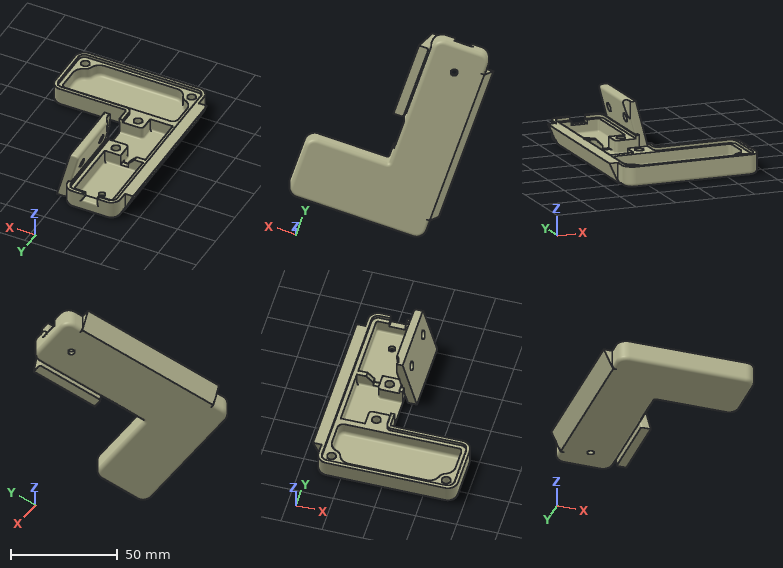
import cadquery as cq
import math

bar_length = 68.0
bar_width = 30.4
stem_width = 27.9
stem_length = 96.3
tray_height = 10.0
outer_radius = 5.0
inside_corner_radius = 0.8
bottom_fillet = 1.9

lip_width = 1.7
lip_height = 1.5
ledge_z = tray_height - lip_height
floor_z = 2.0
wall = 3.95

stem_pocket_fillet = 1.0
stem_corner_radius = 1.1
upper_pocket_right = 24.1
upper_pocket_front = 60.5
lower_pocket_back = 58.1
lower_pocket_front = 29.7
boss_left = 15.8
boss_corner_radius = 1.5
opening_front = 37.75
opening_back = 52.0

ramp_top_x = 8.5
ramp_bottom_x = 11.8
web_low_z = floor_z + stem_pocket_fillet

bar_pocket_front = 3.7
bar_pocket_back = 26.7
bar_pocket_fillet = 1.7
bar_back_left_radius = 3.0
bar_back_right_radius = 1.8
corner_boss_radius = 4.0
corner_blend_radius = 5.4

screw_diameter = 4.2
corner_screw_inset = 6.1
stem_screw_x = 20.3
stem_screw_ys = (33.4, 56.3)
drain_diameter = 3.2
drain_x = 14.1
drain_y = 83.1

notch_left = 10.1
notch_right = 17.9
notch_depth = 1.9
notch_round = 1.0

rail_overhang = 4.2
rail_bottom_x = 0.4
rail_front = 10.4
rail_back = 86.9

tab_angle = math.radians(15)
tab_foot_x = 34.2
tab_thickness = 4.7
tab_height = 26.0
tab_front = 54.5
tab_back = 90.2
tab_top_radius = 1.5
tab_end_radius = 1.0
tab_hole_spacing = 20.0
tab_hole_x = 29.5
driver_radius = 4.3


def box(x0, x1, y0, y1, z0, z1):
    """Box between two opposite corners."""
    return cq.Workplane("XY").box(x1 - x0, y1 - y0, z1 - z0, centered=False).translate((x0, y0, z0))


def fillet_upright(solid, corners, radius, z):
    """Round the upright edges at the given XY corners; z is a height near their middle."""
    for x, y in corners:
        solid = solid.edges(cq.selectors.NearestToPointSelector((x, y, z))).fillet(radius)
    return solid


def l_prism(inset, z0, z1):
    """L-shaped prism with rounded corners, inset from the tray outline."""
    low = inset
    right = bar_length - inset
    shoulder = bar_width - inset
    stem_right = stem_width - inset
    back = stem_length - inset
    inside_corner = (stem_right, shoulder)
    points = [(low, low), (right, low), (right, shoulder), inside_corner, (stem_right, back), (low, back)]
    outer_corners = [point for point in points if point != inside_corner]
    middle = (z0 + z1) / 2
    prism = cq.Workplane("XY").workplane(offset=z0).polyline(points).close().extrude(z1 - z0)
    prism = fillet_upright(prism, [inside_corner], inside_corner_radius + inset, middle)
    return fillet_upright(prism, outer_corners, outer_radius - inset, middle)


def make_rail():
    """Wedge rail along the left side, flush with the tray top and bottom."""
    section = [
        (-rail_overhang, tray_height),
        (lip_width / 2, tray_height),
        (wall / 2, 0),
        (rail_bottom_x, 0),
    ]
    rail = cq.Workplane("XZ").polyline(section).close().extrude(rail_front - rail_back)
    return rail.translate((0, rail_front, 0))


def make_upper_pocket():
    """Pocket in the back of the stem, with a rounded floor edge."""
    back = stem_length - wall
    pocket = box(wall, upper_pocket_right, upper_pocket_front, back, floor_z, tray_height)
    middle = (floor_z + tray_height) / 2
    pocket = fillet_upright(pocket, [(wall, back), (upper_pocket_right, back)], stem_corner_radius, middle)
    return pocket.faces("<Z").edges().fillet(stem_pocket_fillet)


def make_lower_pocket():
    """T-shaped pocket that opens through the right side of the stem."""
    beyond = stem_width + wall
    points = [
        (wall, lower_pocket_front),
        (boss_left, lower_pocket_front),
        (boss_left, opening_front),
        (beyond, opening_front),
        (beyond, opening_back),
        (boss_left, opening_back),
        (boss_left, lower_pocket_back),
        (wall, lower_pocket_back),
    ]
    pocket = cq.Workplane("XY").workplane(offset=floor_z).polyline(points).close()
    pocket = pocket.extrude(tray_height - floor_z)
    rounded = [(boss_left, opening_front), (boss_left, opening_back), (boss_left, lower_pocket_back)]
    pocket = fillet_upright(pocket, rounded, boss_corner_radius, (floor_z + tray_height) / 2)
    return pocket.faces("<Z").edges().fillet(stem_pocket_fillet)


def make_web_cut():
    """Space above the web between the stem pockets: a 45 degree ramp, a step and a low, flat top.

    It reaches into the lower pocket far enough to leave the boss side flat above the web.
    """
    ramp_bottom_z = ledge_z - (ramp_bottom_x - ramp_top_x)
    section = [
        (ramp_top_x, tray_height),
        (ramp_top_x, ledge_z),
        (ramp_bottom_x, ramp_bottom_z),
        (ramp_bottom_x, web_low_z),
        (boss_left, web_low_z),
        (boss_left, tray_height),
    ]
    front = lower_pocket_back - boss_corner_radius
    cut = cq.Workplane("XZ").polyline(section).close().extrude(front - upper_pocket_front)
    return cut.translate((0, front, 0))


def make_bar_pocket():
    """Pocket in the wide leg, waved around the two front corner screw bosses."""
    left = wall
    right = bar_length - wall
    middle = (floor_z + tray_height) / 2
    pocket = box(left, right, bar_pocket_front, bar_pocket_back, floor_z, tray_height)
    pocket = fillet_upright(pocket, [(left, bar_pocket_back)], bar_back_left_radius, middle)
    pocket = fillet_upright(pocket, [(right, bar_pocket_back)], bar_back_right_radius, middle)

    inset = corner_screw_inset
    side_reach = math.sqrt(corner_boss_radius ** 2 - (inset - left) ** 2)
    front_reach = math.sqrt(corner_boss_radius ** 2 - (inset - bar_pocket_front) ** 2)
    for x, wall_x, inward in ((inset, left, 1), (bar_length - inset, right, -1)):
        boss = cq.Workplane("XY").center(x, inset).circle(corner_boss_radius).extrude(tray_height)
        corner = box(min(x, wall_x), max(x, wall_x), bar_pocket_front, inset, floor_z, tray_height)
        pocket = pocket.cut(boss.union(corner))
        meetings = [(wall_x, inset + side_reach), (x + inward * front_reach, bar_pocket_front)]
        pocket = fillet_upright(pocket, meetings, corner_blend_radius, middle)
    return pocket.faces("<Z").edges().fillet(bar_pocket_fillet)


def cut_notch(body):
    """Cable notch through the back wall, with its outer edges rounded."""
    notch_z = ledge_z - notch_depth
    inner = stem_length - wall - stem_corner_radius
    body = body.cut(box(notch_left, notch_right, inner, stem_length, notch_z, tray_height))
    middle_z = (notch_z + tray_height) / 2
    outer_edges = [
        ((notch_left + notch_right) / 2, notch_z),
        (notch_left, middle_z),
        (notch_right, middle_z),
    ]
    for x, z in outer_edges:
        edge = cq.selectors.NearestToPointSelector((x, stem_length, z))
        body = body.edges(edge).fillet(notch_round)
    return body


def make_tab():
    """Leaning plate on the right side of the stem, with two cross holes."""
    lean = math.tan(tab_angle)
    width = tab_thickness / math.cos(tab_angle)
    top_x = tab_foot_x - tab_height * lean
    section = [(tab_foot_x, 0), (top_x, tab_height), (top_x - width, tab_height), (tab_foot_x - width, 0)]
    plate = cq.Workplane("XZ").polyline(section).close().extrude(tab_front - tab_back)
    plate = plate.translate((0, tab_front, 0))
    middle_y = (tab_front + tab_back) / 2

    inner_x = tab_foot_x - width - lean * tab_height / 2
    front_edge = cq.selectors.NearestToPointSelector((inner_x, tab_front, tab_height / 2))
    back_edge = cq.selectors.NearestToPointSelector((inner_x, tab_back, tab_height / 2))
    top_edge = cq.selectors.NearestToPointSelector((top_x - width, middle_y, tab_height))
    front_rounded = plate.edges(front_edge).fillet(tab_end_radius)
    tab = plate.edges(top_edge).fillet(tab_top_radius)
    tab = tab.edges(back_edge).fillet(tab_end_radius)
    tab = tab.intersect(front_rounded)

    axis = cq.Vector(-math.cos(tab_angle), 0, -math.sin(tab_angle))
    hole_z = (tab_foot_x - tab_hole_x) / lean
    for side in (-1, 1):
        start = cq.Vector(tab_hole_x, middle_y + side * tab_hole_spacing / 2, hole_z) - axis * tab_thickness
        hole = cq.Solid.makeCylinder(screw_diameter / 2, 3 * tab_thickness, start, axis)
        tab = tab.cut(cq.Workplane(hole))

    driver = cq.Workplane("XY").workplane(offset=ledge_z).circle(driver_radius).extrude(tab_height)
    return tab.cut(driver.translate((stem_screw_x, stem_screw_ys[1], 0)))


def drill(body, x, y, diameter, bottom):
    """Upright hole from the given bottom height through the top."""
    hole = cq.Workplane("XY").workplane(offset=bottom).center(x, y).circle(diameter / 2)
    return body.cut(hole.extrude(tray_height))


tray = l_prism(0, 0, tray_height).faces("<Z").edges().fillet(bottom_fillet)
tray = tray.union(make_rail())
tray = tray.cut(l_prism(lip_width, ledge_z, tray_height))
for pocket in (make_upper_pocket(), make_lower_pocket(), make_bar_pocket(), make_web_cut()):
    tray = tray.cut(pocket)
tray = cut_notch(tray)

screw_points = [(stem_screw_x, y) for y in stem_screw_ys]
screw_points += [(x, corner_screw_inset) for x in (corner_screw_inset, bar_length - corner_screw_inset)]
for x, y in screw_points:
    tray = drill(tray, x, y, screw_diameter, floor_z)
tray = drill(tray, drain_x, drain_y, drain_diameter, 0)

result = tray.union(make_tab())